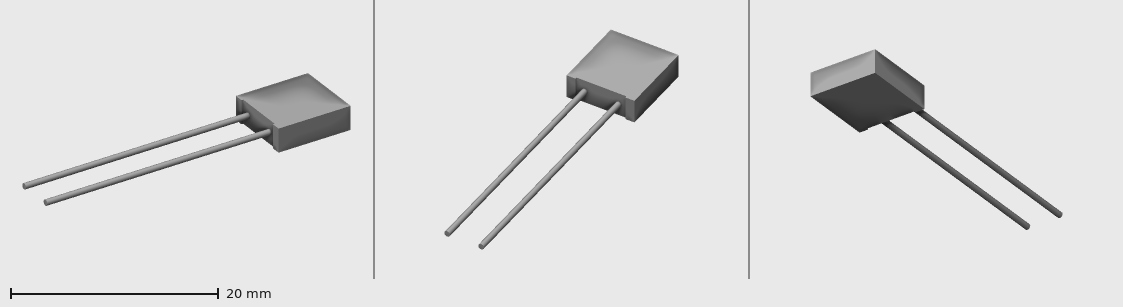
import cadquery as cq

body_width = 7.6
body_thickness = 2.65
total_length = 33.68
body_length = 8.25

foot_width = 1.0
recess_depth = 0.2

lead_diameter = 0.65
lead_spacing = 3.8

back_y = total_length / 2
lead_end_y = -total_length / 2
foot_y = back_y - body_length
recess_floor_y = foot_y + recess_depth


def make_body():
    """Rectangular block with a full-thickness recess between the feet."""
    half_width = body_width / 2
    half_recess = half_width - foot_width
    outline = [
        (-half_width, back_y),
        (half_width, back_y),
        (half_width, foot_y),
        (half_recess, foot_y),
        (half_recess, recess_floor_y),
        (-half_recess, recess_floor_y),
        (-half_recess, foot_y),
        (-half_width, foot_y),
    ]
    return (
        cq.Workplane("XY")
        .polyline(outline)
        .close()
        .extrude(body_thickness / 2, both=True)
    )


def make_leads():
    """Two parallel leads running from the recess floor to the free end."""
    return (
        cq.Workplane("XZ", origin=(0, recess_floor_y, 0))
        .pushPoints([(-lead_spacing / 2, 0), (lead_spacing / 2, 0)])
        .circle(lead_diameter / 2)
        .extrude(recess_floor_y - lead_end_y)
    )


result = make_body().union(make_leads())